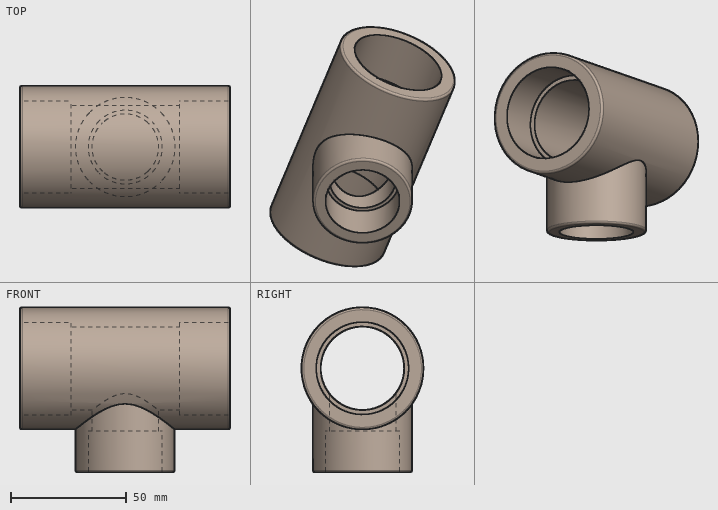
import cadquery as cq

run_length = 91.0
run_diameter = 53.0
run_bore = 36.0
run_socket = 40.0
run_socket_depth = 22.0
run_edge = 1.0

overall_height = 71.5
branch_diameter = 43.0
branch_bore = 28.8
branch_socket = 32.0
branch_socket_depth = 18.0
branch_edge = 1.0

branch_reach = overall_height - run_diameter / 2


def run_cylinder(diameter, length, start):
    return cq.Workplane("YZ", origin=(start, 0, 0)).circle(diameter / 2).extrude(length)


def branch_cylinder(diameter, length):
    """Cylinder rising from the open end of the branch."""
    return cq.Workplane("XY", origin=(0, 0, -branch_reach)).circle(diameter / 2).extrude(length)


run = run_cylinder(run_diameter, run_length, -run_length / 2).edges("%CIRCLE").fillet(run_edge)
branch = branch_cylinder(branch_diameter, branch_reach).faces("<Z").edges().fillet(branch_edge)
body = run.union(branch)

body = body.cut(run_cylinder(run_bore, run_length, -run_length / 2))
body = body.cut(branch_cylinder(branch_bore, branch_reach))

for socket_start in (-run_length / 2, run_length / 2 - run_socket_depth):
    body = body.cut(run_cylinder(run_socket, run_socket_depth, socket_start))
body = body.cut(branch_cylinder(branch_socket, branch_socket_depth))

result = body